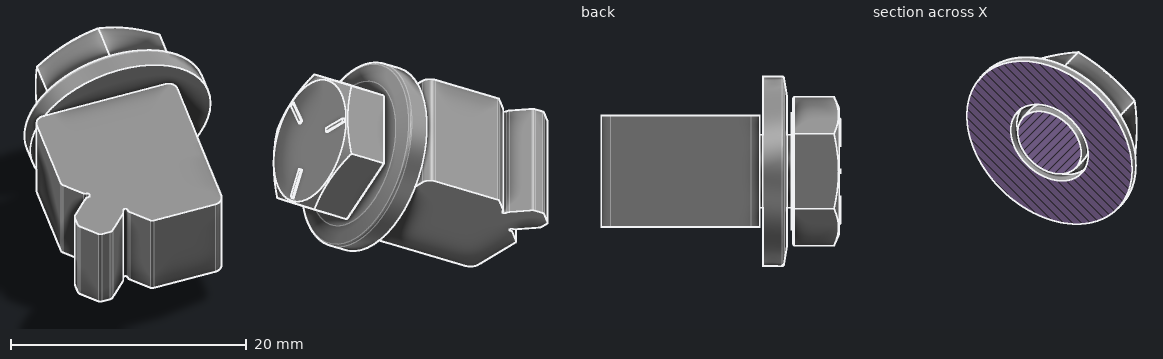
import cadquery as cq
import math


across_flats = 10.97
across_corners = across_flats / math.cos(math.radians(30))
head_height = 4.10
head_top_diameter = 10.67
head_chamfer_depth = 0.45
head_base_chamfer = 0.14
bearing_diameter = 9.91
bearing_height = 0.15

mark_count = 3
mark_height = 0.14
mark_width = 0.35
mark_inner_radius = 2.55
mark_outer_radius = 5.11

shank_diameter = 6.22
shank_length = 12.7

washer_gap = 0.33
washer_thickness = 2.05
washer_diameter = 16.13
washer_hole_diameter = 7.49
washer_flat_diameter = across_corners
washer_cone_drop = 0.28
washer_rim_radius = 0.22

block_gap = 0.26
block_length = 13.49
block_height = 9.5
block_side = block_height / 2
block_width = 12.56
block_corner_radius = 0.79
edge_radius = 0.4
nose_chamfer = 1.46

notch_from_corner = 4.31
notch_half_width = 1.79
relief_depth = 1.95
relief_radius = 0.2
relief_mouth_radius = 0.35

head_top_x = -head_height
washer_front_x = washer_gap
washer_back_x = washer_front_x + washer_thickness
block_front_x = washer_back_x + block_gap
block_back_x = block_front_x + block_length
block_base_y = block_side - block_width


def x_cylinder(diameter, start_x, end_x):
    """Solid cylinder on the X axis."""
    return cq.Workplane("YZ", origin=(start_x, 0, 0)).circle(diameter / 2).extrude(end_x - start_x)


def make_hex_head():
    """Hexagon with corners at +Z and -Z, chamfered on both ends."""
    hexagon = (
        cq.Workplane("YZ", origin=(head_top_x, 0, 0))
        .transformed(rotate=(0, 0, 90))
        .polygon(6, across_corners)
        .extrude(head_height - bearing_height)
        .faces(">X")
        .chamfer(head_base_chamfer)
    )
    corner_radius = across_corners / 2
    chamfer_end_x = head_top_x + head_chamfer_depth
    chamfer_envelope = (
        cq.Workplane("XY")
        .moveTo(head_top_x, 0)
        .lineTo(head_top_x, head_top_diameter / 2)
        .lineTo(chamfer_end_x, corner_radius)
        .lineTo(0, corner_radius)
        .lineTo(0, 0)
        .close()
        .revolve(360, (0, 0, 0), (1, 0, 0))
    )
    return hexagon.intersect(chamfer_envelope)


def make_mark(angle):
    """Radial bar on the head, bevelled at its outer end; angle 0 points toward -Y."""
    mark_top_x = head_top_x - mark_height
    bar = (
        cq.Workplane("XY")
        .polyline([
            (head_top_x, -mark_inner_radius),
            (mark_top_x, -mark_inner_radius),
            (mark_top_x, -mark_outer_radius + mark_height),
            (head_top_x, -mark_outer_radius),
        ])
        .close()
        .extrude(mark_width / 2, both=True)
    )
    return bar.rotate((0, 0, 0), (1, 0, 0), angle)


def make_bolt():
    bolt = make_hex_head()
    bolt = bolt.union(x_cylinder(bearing_diameter, -bearing_height, 0))
    bolt = bolt.union(x_cylinder(shank_diameter, -bearing_height, shank_length))
    for index in range(mark_count):
        bolt = bolt.union(make_mark(index * 360 / mark_count))
    return bolt


def make_washer():
    """Revolved washer whose front face falls away as a cone to a rounded rim."""
    rim_radius = washer_diameter / 2
    rim_edge_x = washer_front_x + washer_cone_drop
    washer = (
        cq.Workplane("XY")
        .moveTo(washer_front_x, washer_hole_diameter / 2)
        .lineTo(washer_front_x, washer_flat_diameter / 2)
        .lineTo(rim_edge_x, rim_radius)
        .lineTo(washer_back_x, rim_radius)
        .lineTo(washer_back_x, washer_hole_diameter / 2)
        .close()
        .revolve(360, (0, 0, 0), (1, 0, 0))
    )
    rim_edge = cq.selectors.BoxSelector(
        (rim_edge_x - washer_rim_radius / 2, -washer_diameter, -washer_diameter),
        (rim_edge_x + washer_rim_radius / 2, washer_diameter, washer_diameter),
        boundingbox=True,
    )
    return washer.edges(rim_edge).fillet(washer_rim_radius)


def make_relief(face_x, face_y, inward_angle):
    """Round-ended slot running from a block face into the bottom of a notch."""
    slot_length = relief_depth - relief_radius
    relief = (
        cq.Workplane("XY")
        .moveTo(0, -relief_radius)
        .lineTo(slot_length, -relief_radius)
        .threePointArc((relief_depth, 0), (slot_length, relief_radius))
        .lineTo(0, relief_radius)
        .close()
        .extrude(block_height / 2, both=True)
    )
    return relief.rotate((0, 0, 0), (0, 0, 1), inward_angle).translate((face_x, face_y, 0))


def round_upright_edges(body, corners, radius):
    """Fillet the Z-parallel edge at each (x, y) corner."""
    for x, y in corners:
        upright_edge = cq.selectors.NearestToPointSelector((x, y, 0))
        body = body.edges(upright_edge).fillet(radius)
    return body


def make_block():
    bottom_notch_x = block_back_x - notch_from_corner
    back_notch_y = block_base_y + notch_from_corner

    square_corners = [
        (block_front_x, block_base_y),
        (block_front_x, block_side),
        (block_back_x, block_side),
    ]
    sloped_corners = [
        (block_back_x, back_notch_y + notch_half_width),
        (block_back_x, back_notch_y - notch_half_width),
        (block_back_x, block_base_y + nose_chamfer),
        (block_back_x - nose_chamfer, block_base_y),
        (bottom_notch_x + notch_half_width, block_base_y),
        (bottom_notch_x - notch_half_width, block_base_y),
    ]
    back_notch_tip = (block_back_x - notch_half_width, back_notch_y)
    bottom_notch_tip = (bottom_notch_x, block_base_y + notch_half_width)
    outline = (
        square_corners
        + sloped_corners[:1] + [back_notch_tip]
        + sloped_corners[1:5] + [bottom_notch_tip]
        + sloped_corners[5:]
    )
    block = cq.Workplane("XY").polyline(outline).close().extrude(block_height / 2, both=True)

    block = block.cut(make_relief(block_back_x, back_notch_y, 180))
    block = block.cut(make_relief(bottom_notch_x, block_base_y, 90))

    mouth_depth = notch_half_width - relief_radius
    mouth_corners = [
        (block_back_x - mouth_depth, back_notch_y + relief_radius),
        (block_back_x - mouth_depth, back_notch_y - relief_radius),
        (bottom_notch_x + relief_radius, block_base_y + mouth_depth),
        (bottom_notch_x - relief_radius, block_base_y + mouth_depth),
    ]
    block = round_upright_edges(block, square_corners, block_corner_radius)
    block = round_upright_edges(block, sloped_corners, edge_radius)
    block = round_upright_edges(block, mouth_corners, relief_mouth_radius)

    return block.cut(x_cylinder(shank_diameter, block_front_x, shank_length))


bolt = make_bolt()
washer = make_washer()
block = make_block()

result = cq.Compound.makeCompound([body.solids().val() for body in (bolt, washer, block)])